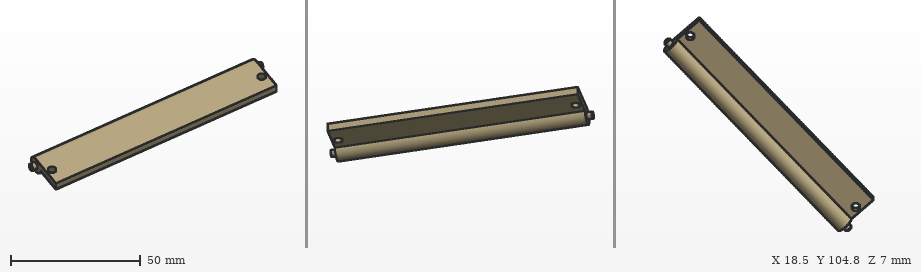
import cadquery as cq

knuckle_diameter = 7.0
knuckle_radius = knuckle_diameter / 2

overall_width = 18.5
leaf_length = 100.0
leaf_thickness = knuckle_radius
leaf_edge_x = overall_width - knuckle_radius

overall_length = 104.8
pin_diameter = 2.9
pin_chamfer = 0.3
pin_length = (overall_length - leaf_length) / 2

hole_diameter = 3.2
hole_edge_distance = 7.0
hole_end_distance = 2.5
hole_x = leaf_edge_x - hole_edge_distance
hole_y = leaf_length / 2 - hole_end_distance


def cylinder_along_y(diameter, length):
    """Cylinder on the knuckle axis, centred lengthwise on the origin."""
    return cq.Workplane("XZ", origin=(0, length / 2, 0)).circle(diameter / 2).extrude(length)


def make_leaf():
    """Plate from the knuckle axis to the free edge."""
    return cq.Workplane("XY").box(
        leaf_edge_x, leaf_length, leaf_thickness, centered=(False, True, False)
    )


def make_pin(end):
    """Pivot pin with a chamfered tip, standing on one end face; end is -1 or +1 along Y."""
    pin_centre_y = end * (leaf_length + pin_length) / 2
    outer_face = ">Y" if end > 0 else "<Y"
    pin = cylinder_along_y(pin_diameter, pin_length).faces(outer_face).chamfer(pin_chamfer)
    return pin.translate((0, pin_centre_y, 0))


def make_mounting_holes():
    """Cutters for the through holes in the leaf."""
    return (
        cq.Workplane("XY")
        .pushPoints([(hole_x, -hole_y), (hole_x, hole_y)])
        .circle(hole_diameter / 2)
        .extrude(knuckle_diameter, both=True)
    )


result = cylinder_along_y(knuckle_diameter, leaf_length).union(make_leaf())
for end in (-1, 1):
    result = result.union(make_pin(end))
result = result.cut(make_mounting_holes())